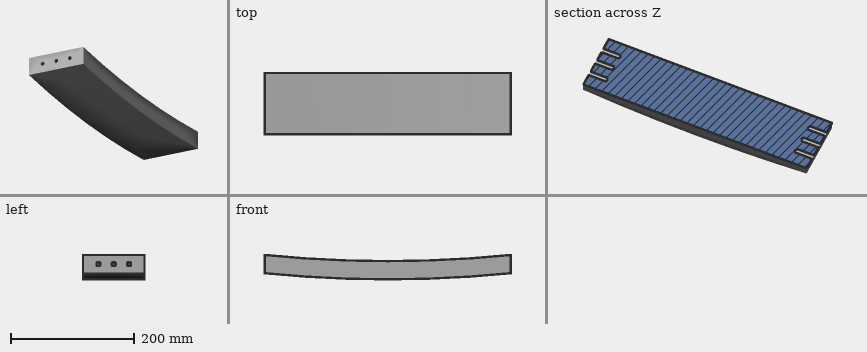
import cadquery as cq
import math

length = 400.0
width = 100.0
thickness = 30.0
sag = 10.0

hole_diameter = 6.8
hole_depth = 30.0
hole_spacing = 25.0
hole_count = 3
drill_point_angle = 118.0

half_length = length / 2
arc_radius = (half_length**2 + sag**2) / (2 * sag)
quarter_length = length / 4
quarter_height = arc_radius - math.sqrt(arc_radius**2 - quarter_length**2)


def make_bar():
    """Bar sagging along X: equal arcs above and below, each in two halves meeting at X = 0."""
    return (
        cq.Workplane("XZ", origin=(0, width / 2, 0))
        .moveTo(-half_length, sag)
        .threePointArc((-quarter_length, quarter_height), (0, 0))
        .threePointArc((quarter_length, quarter_height), (half_length, sag))
        .lineTo(half_length, sag + thickness)
        .threePointArc((quarter_length, quarter_height + thickness), (0, thickness))
        .threePointArc((-quarter_length, quarter_height + thickness), (-half_length, sag + thickness))
        .close()
        .extrude(width, clean=False)
    )


def make_drill(y):
    """Cylinder with a conical tip, running in +X from the -X end face at mid-thickness."""
    hole_radius = hole_diameter / 2
    tip_length = hole_radius / math.tan(math.radians(drill_point_angle / 2))
    axis_height = sag + thickness / 2
    return (
        cq.Workplane("XY", origin=(-half_length, y, axis_height))
        .lineTo(0, hole_radius)
        .lineTo(hole_depth, hole_radius)
        .lineTo(hole_depth + tip_length, 0)
        .close()
        .revolve(360, (0, 0, 0), (1, 0, 0))
    )


def cut_end_holes(bar):
    """Drill the same row of holes, centred on the width, into both end faces."""
    for index in range(hole_count):
        hole_y = (index - (hole_count - 1) / 2) * hole_spacing
        drill = make_drill(hole_y)
        bar = bar.cut(drill, clean=False)
        bar = bar.cut(drill.mirror("YZ"), clean=False)
    return bar


result = cut_end_holes(make_bar())